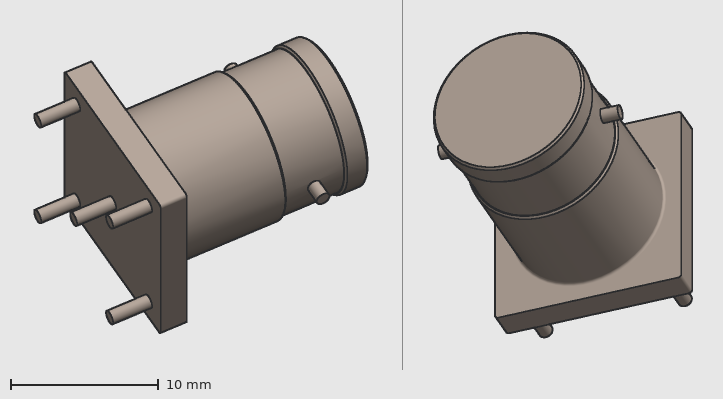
import cadquery as cq

flange_side = 13.6
flange_thickness = 2.02
flange_corner = 0.25

pin_diameter = 1.01
pin_length = 3.01
pin_offset = 5.07

total_length = 19.82
barrel_diameter = 10.98
neck_diameter = 10.56
neck_start = 13.5
neck_end = 18.0
edge_chamfer = 0.15
base_fillet = 0.2

lug_diameter = 1.0
lug_span = 13.08
lug_position = 15.7

flange_front = pin_length + flange_thickness


def cylinder_along_y(diameter, start, end, x=0, z=0):
    """Cylinder parallel to Y between two Y positions."""
    axis_start = cq.Vector(x, start, z)
    return cq.Workplane(cq.Solid.makeCylinder(diameter / 2, end - start, axis_start, cq.Vector(0, 1, 0)))


def make_flange():
    block = cq.Workplane("XY").box(flange_side, flange_thickness, flange_side)
    block = block.edges("|Y").fillet(flange_corner)
    return block.translate((0, pin_length + flange_thickness / 2, 0))


def make_barrel():
    body = cylinder_along_y(barrel_diameter, flange_front, neck_start).faces(">Y").chamfer(edge_chamfer)
    neck = cylinder_along_y(neck_diameter, flange_front, total_length - edge_chamfer)
    rim = cylinder_along_y(barrel_diameter, neck_end, total_length).faces(">Y or <Y").chamfer(edge_chamfer)
    return body.union(neck).union(rim)


def make_lugs():
    return cq.Workplane("YZ").center(lug_position, 0).circle(lug_diameter / 2).extrude(lug_span / 2, both=True)


result = make_flange().union(make_barrel())
result = result.edges(cq.NearestToPointSelector((0, flange_front, 0))).fillet(base_fillet)
result = result.union(make_lugs())

pin_places = [(0, 0)] + [(x, z) for x in (-pin_offset, pin_offset) for z in (-pin_offset, pin_offset)]
for pin_x, pin_z in pin_places:
    result = result.union(cylinder_along_y(pin_diameter, 0, flange_front, pin_x, pin_z))